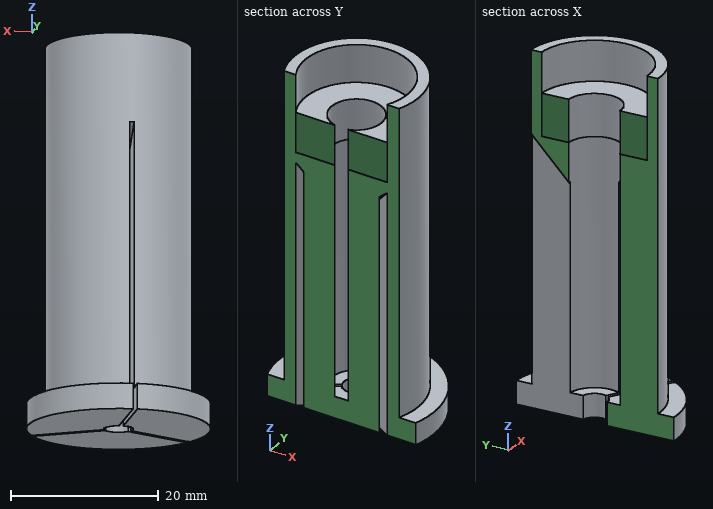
import cadquery as cq

height = 52.9
flange_diameter = 25.0
flange_thickness = 3.55
barrel_diameter = 20.0

socket_diameter = 16.5
socket_depth = 6.05
passage_diameter = 8.0
mouth_diameter = 3.95

slit_count = 3
slit_width = 0.6
slit_top = 40.5
slit_pitch = 360 / slit_count
first_slit_angle = 90

insert_bottom = slit_top
insert_top = height - socket_depth


def cylinder(diameter, bottom, top):
    """Upright cylinder on the Z axis between two heights."""
    return cq.Workplane("XY").workplane(offset=bottom).circle(diameter / 2).extrude(top - bottom)


def make_slit(angle):
    """Thin radial blade that runs from the axis out past the flange."""
    outer_radius = flange_diameter / 2 + slit_width
    barrel_radius = barrel_diameter / 2
    roof_at_axis = slit_top - barrel_radius
    outline = [
        (0, 0),
        (outer_radius, 0),
        (outer_radius, slit_top),
        (barrel_radius, slit_top),
        (0, roof_at_axis),
    ]
    blade = cq.Workplane("XZ").polyline(outline).close().extrude(slit_width / 2, both=True)
    return blade.rotate((0, 0, 0), (0, 0, 1), angle)


def make_sleeve():
    """Flanged barrel with a stepped bore, split by the slits over its lower part."""
    sleeve = cylinder(barrel_diameter, 0, height)
    sleeve = sleeve.union(cylinder(flange_diameter, 0, flange_thickness))
    sleeve = sleeve.cut(cylinder(mouth_diameter, 0, height))
    sleeve = sleeve.cut(cylinder(passage_diameter, flange_thickness, height))
    sleeve = sleeve.cut(cylinder(socket_diameter, insert_bottom, height))
    for index in range(slit_count):
        sleeve = sleeve.cut(make_slit(first_slit_angle + index * slit_pitch))
    return sleeve


def make_insert():
    """Ring seated in the sleeve, with a hole that continues the passage below it."""
    ring = cylinder(socket_diameter, insert_bottom, insert_top)
    return ring.cut(cylinder(passage_diameter, insert_bottom, insert_top))


sleeve = make_sleeve()
insert = make_insert()

result = cq.Compound.makeCompound([sleeve.val(), insert.val()])